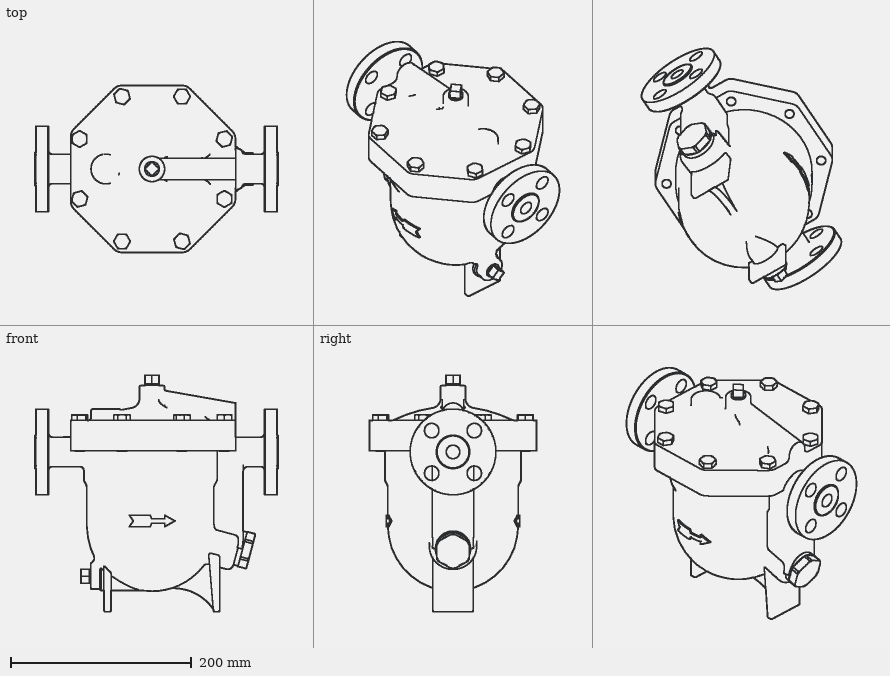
import cadquery as cq
import math


INLET_FACE_X = -130.0
OUTLET_FACE_X = 140.0
PIPE_DIA = 33.0
BORE_DIA = 15.0
BORE_DEPTH = 55.0
FLANGE_DIA = 95.0
FLANGE_THICKNESS = 14.3
FLANGE_EDGE_CHAMFER = 1.0
RAISED_FACE_DIA = 37.0
RAISED_FACE_HEIGHT = 1.6
RAISED_FACE_CHAMFER = 0.8
HUB_FILLET = 3.5
FLANGE_HOLE_DIA = 16.0
FLANGE_HOLE_CIRCLE = 66.7
FLANGE_HOLE_COUNT = 4
FLANGE_FIRST_HOLE_ANGLE = 45.0

OCTAGON_FLATS = 185.0
OCTAGON_LEFT_X = -90.0
OCTAGON_CORNER_RADIUS = 12.0
OCTAGON_BOTTOM_Z = 1.2
OCTAGON_TOP_Z = 35.0

BOLT_COUNT = 8
BOLT_CIRCLE = 173.4
BOLT_FLATS = 16.0
BOLT_FIRST_ANGLE = 67.5
BOLT_HEAD_HEIGHT = 6.0
BOLT_HEAD_CHAMFER = 0.7
BOLT_DIA = 10.0
BOLT_END_Z = 0.5

DOME_RADIUS = 150.0
DOME_CROWN_Z = 50.5
DOME_BASE_FILLET = 6.0
VENT_DIA = 28.0
VENT_TOP_Z = 73.5
VENT_BASE_FILLET = 10.0
VENT_TOP_FILLET = 2.0

PLUG_DIA = 16.0
PLUG_COLLAR_HEIGHT = 1.7
VENT_PLUG_TOP_Z = 85.0

PASSAGE_DIA = 24.0
PASSAGE_SLOPE = 10.0
PASSAGE_END_AXIS_Z = 42.0
PASSAGE_FOOT_FILLET = 6.0
PASSAGE_DOME_FILLET = 2.4
PASSAGE_VENT_FILLET = 2.0
PASSAGE_BLEND_END_X = 62.0

PAD_X = -51.0
PAD_DIA = 33.0
PAD_TOP_Z = 47.6
PAD_TOP_FILLET = 2.5
PAD_BASE_FILLET = 3.0

BOWL_RIM_DIA = 151.0
BOWL_DIA = 144.6
RIM_END_Z = -31.7
TAPER_END_Z = -37.7
STEP_FILLET = 3.0
BOWL_CENTER_Z = -82.0
INLET_BOWL_FILLET = 4.0

RISER_WIDTH = 45.5
RISER_END_X = 101.0
RISER_ARCH_Z = -7.0
RISER_EDGE_FILLET = 7.0
RISER_PIPE_FILLET = 5.0

SEAT_SLOPE = 15.0
SEAT_AXIS_Z = -80.7
SEAT_DIA = 52.4
SEAT_END = 98.5
SEAT_END_FILLET = 6.5
SEAT_BOWL_FILLET = 5.0
SEAT_PLUG_DIA = 39.0
SEAT_HEX_START = 103.8
SEAT_HEX_END = 113.4
SEAT_HEX_FLATS = 36.0
SEAT_HEX_ROUND_DIA = 40.0
SEAT_HEX_CHAMFER = 0.8

DRAIN_Z = -137.6
DRAIN_DIA = 28.6
DRAIN_FACE_X = -67.8
DRAIN_PLUG_END_X = -78.8
DRAIN_BOWL_FILLET = 6.0
DRAIN_TUBE_DIA = 32.0
DRAIN_TUBE_START_X = -58.0
DRAIN_STEP = 1.6
DRAIN_FACE_FILLET = 1.5

FOOT_BOTTOM_Z = -177.0
FOOT_WIDTH = 45.0
FOOT_EDGE_FILLET = 1.8
LEFT_FOOT_X = (-53.1, -45.3)
LEFT_FOOT_TOP_Z = -126.0
RIGHT_FOOT_OUTER_X = 75.0
RIGHT_FOOT_BOTTOM_X = 68.0
RIGHT_FOOT_TOP_X = 62.0
RIGHT_FOOT_TOP_Z = -105.0
GUSSET_THICKNESS = 8.0
GUSSET_ARC_RADIUS = 53.0
GUSSET_ARC_X = 24.0
GUSSET_ARC_TOP_Z = -151.0

ARROW_Z = -76.4
ARROW_HEIGHT = 1.6
ARROW_TAIL_X = -25.0
ARROW_NOTCH_X = -20.6
ARROW_TAIL_END_X = -2.0
ARROW_SHAFT_START_X = -0.4
ARROW_HEAD_X = 14.0
ARROW_TIP_X = 25.5
ARROW_HALF_HEIGHT = 6.3
ARROW_SHAFT_HALF_HEIGHT = 2.7

PICK_MARGIN = 1.0

BOWL_RADIUS = BOWL_DIA / 2
OCTAGON_HALF = OCTAGON_FLATS / 2


def arc_midpoint(center, start, end):
    """Point halfway along the shorter arc from start to end about center."""
    dx = (start[0] + end[0]) / 2 - center[0]
    dy = (start[1] + end[1]) / 2 - center[1]
    radius = math.dist(center, start)
    length = math.hypot(dx, dy)
    return (center[0] + radius * dx / length, center[1] + radius * dy / length)


def toward(center, target, distance):
    """Point at a distance from center in the direction of target."""
    span = math.dist(center, target)
    return tuple(c + (t - c) * distance / span for c, t in zip(center, target))


def rod(diameter, start_x, end_x, axis_z=0.0):
    """Cylinder along X."""
    return (
        cq.Workplane("YZ", origin=(start_x, 0, axis_z))
        .circle(diameter / 2)
        .extrude(end_x - start_x)
    )


def box(x_range, width, z_range):
    """Block between two X and two Z limits, centred on Y."""
    (x0, x1), (z0, z1) = x_range, z_range
    return (
        cq.Workplane("XY", origin=((x0 + x1) / 2, 0, z0))
        .rect(x1 - x0, width)
        .extrude(z1 - z0)
    )


def square_plug(height):
    """Collar with a square head on +Z, its corners on the X and Y axes."""
    collar = cq.Workplane("XY").circle(PLUG_DIA / 2).extrude(PLUG_COLLAR_HEIGHT)
    return collar.union(cq.Workplane("XY").polygon(4, PLUG_DIA).extrude(height))


def hex_corner_dia(flats):
    return flats / math.cos(math.pi / 6)


def hex_head(flats, height, round_dia, chamfer):
    """Hexagonal head on +Z, its corners turned to round_dia and its top rim bevelled."""
    bevel = cq.Workplane("XY").circle(round_dia / 2).extrude(height).faces(">Z").chamfer(chamfer)
    return cq.Workplane("XY").polygon(6, hex_corner_dia(flats)).extrude(height).intersect(bevel)


def octagon_plate():
    half_side = OCTAGON_HALF * math.tan(math.pi / 8)
    left_half_side = half_side + OCTAGON_HALF + OCTAGON_LEFT_X
    upper = [
        (OCTAGON_HALF, half_side),
        (half_side, OCTAGON_HALF),
        (-half_side, OCTAGON_HALF),
        (OCTAGON_LEFT_X, left_half_side),
    ]
    lower = [(x, -y) for x, y in reversed(upper)]
    return (
        cq.Workplane("XY", origin=(0, 0, OCTAGON_BOTTOM_Z))
        .polyline(upper + lower)
        .close()
        .extrude(OCTAGON_TOP_Z - OCTAGON_BOTTOM_Z)
        .edges("|Z")
        .fillet(OCTAGON_CORNER_RADIUS)
    )


def dome_and_vent():
    """Spherical dome blended into the plate and into the vent boss."""
    vent_radius = VENT_DIA / 2
    dome_center = (0, DOME_CROWN_Z - DOME_RADIUS)

    base_z = OCTAGON_TOP_Z + DOME_BASE_FILLET
    base_reach = DOME_RADIUS + DOME_BASE_FILLET
    base_center = (math.sqrt(base_reach**2 - (base_z - dome_center[1]) ** 2), base_z)
    base_start = (base_center[0], OCTAGON_TOP_Z)
    base_end = toward(dome_center, base_center, DOME_RADIUS)

    neck_r = vent_radius + VENT_BASE_FILLET
    neck_reach = DOME_RADIUS + VENT_BASE_FILLET
    neck_center = (neck_r, dome_center[1] + math.sqrt(neck_reach**2 - neck_r**2))
    neck_start = toward(dome_center, neck_center, DOME_RADIUS)
    neck_end = (vent_radius, neck_center[1])

    return (
        cq.Workplane("XZ")
        .moveTo(0, OCTAGON_BOTTOM_Z)
        .lineTo(base_start[0], OCTAGON_BOTTOM_Z)
        .lineTo(*base_start)
        .threePointArc(arc_midpoint(base_center, base_start, base_end), base_end)
        .threePointArc(arc_midpoint(dome_center, base_end, neck_start), neck_start)
        .threePointArc(arc_midpoint(neck_center, neck_start, neck_end), neck_end)
        .lineTo(vent_radius, VENT_TOP_Z)
        .lineTo(0, VENT_TOP_Z)
        .close()
        .revolve(360, (0, 0), (0, 1))
        .faces(">Z")
        .edges()
        .fillet(VENT_TOP_FILLET)
    )


def passage():
    """Round passage sloping down from the vent boss, on a flat-sided wall."""
    radius = PASSAGE_DIA / 2
    fall = math.tan(math.radians(PASSAGE_SLOPE))
    start_z = PASSAGE_END_AXIS_Z + OCTAGON_HALF * fall
    across = cq.Plane(origin=(0, 0, start_z), xDir=(0, 1, 0), normal=(1, 0, -fall))
    wall = (
        cq.Workplane(across)
        .moveTo(-radius, -start_z)
        .lineTo(-radius, 0)
        .radiusArc((radius, 0), radius)
        .lineTo(radius, -start_z)
        .close()
        .extrude(OCTAGON_FLATS)
    )
    post_top_z = VENT_TOP_Z - VENT_TOP_FILLET
    post = cq.Workplane("XY").circle(VENT_DIA / 2).extrude(post_top_z)
    junction = cq.selectors.BoxSelector(
        (radius / 2, -radius, 0), (VENT_DIA, radius, post_top_z), boundingbox=True
    )
    wall_with_post = wall.union(post).edges(junction).fillet(PASSAGE_VENT_FILLET)
    limits = box((0, OCTAGON_HALF), OCTAGON_FLATS, (OCTAGON_TOP_Z, VENT_TOP_Z))
    return wall_with_post.intersect(limits)


def passage_foot():
    """Flared foot where the passage wall stands on the plate."""
    radius = PASSAGE_DIA / 2
    foot_y = radius + PASSAGE_FOOT_FILLET
    foot_z = OCTAGON_TOP_Z + PASSAGE_FOOT_FILLET
    return (
        cq.Workplane("YZ")
        .moveTo(-foot_y, OCTAGON_TOP_Z)
        .radiusArc((-radius, foot_z), -PASSAGE_FOOT_FILLET)
        .lineTo(radius, foot_z)
        .radiusArc((foot_y, OCTAGON_TOP_Z), -PASSAGE_FOOT_FILLET)
        .close()
        .extrude(OCTAGON_HALF)
    )


def dome_ball(radius):
    return cq.Workplane("XY", origin=(0, 0, DOME_CROWN_Z - DOME_RADIUS)).sphere(radius)


def passage_dome_blend():
    """Strip of dome with fillets running up to the sides of the passage wall."""
    side_y = PASSAGE_DIA / 2
    slab = box((-2 * DOME_RADIUS, 2 * DOME_RADIUS), PASSAGE_DIA, (0, 2 * DOME_CROWN_Z))
    ridge = dome_ball(DOME_RADIUS).union(slab)
    for y in (-side_y, side_y):
        foot_line = cq.selectors.NearestToPointSelector((0, y, OCTAGON_TOP_Z))
        ridge = ridge.edges("%CIRCLE").edges(foot_line).fillet(PASSAGE_DOME_FILLET)
    strip = box(
        (VENT_DIA / 2, PASSAGE_BLEND_END_X),
        PASSAGE_DIA + 4 * PASSAGE_DOME_FILLET,
        (OCTAGON_TOP_Z, DOME_CROWN_Z + PASSAGE_DOME_FILLET),
    ).intersect(dome_ball(DOME_RADIUS + PASSAGE_DOME_FILLET))
    return ridge.intersect(strip)


def cover_pad():
    return (
        cq.Workplane("XY", origin=(PAD_X, 0, OCTAGON_BOTTOM_Z))
        .circle(PAD_DIA / 2)
        .extrude(PAD_TOP_Z - OCTAGON_BOTTOM_Z)
        .faces(">Z")
        .edges()
        .fillet(PAD_TOP_FILLET)
    )


def bowl():
    rim_radius = BOWL_RIM_DIA / 2
    diagonal = BOWL_RADIUS * math.sqrt(0.5)
    shape = (
        cq.Workplane("XZ")
        .moveTo(0, OCTAGON_BOTTOM_Z)
        .lineTo(rim_radius, OCTAGON_BOTTOM_Z)
        .lineTo(rim_radius, RIM_END_Z)
        .lineTo(BOWL_RADIUS, TAPER_END_Z)
        .lineTo(BOWL_RADIUS, BOWL_CENTER_Z)
        .threePointArc((diagonal, BOWL_CENTER_Z - diagonal), (0, BOWL_CENTER_Z - BOWL_RADIUS))
        .close()
        .revolve(360, (0, 0), (0, 1))
    )
    step_zone = cq.selectors.BoxSelector(
        (-rim_radius, -rim_radius, TAPER_END_Z - PICK_MARGIN),
        (rim_radius, rim_radius, RIM_END_Z + PICK_MARGIN),
    )
    return shape.edges("%CIRCLE").edges(step_zone).fillet(STEP_FILLET)


def seat_frame(distance):
    """Plane across the inclined seat axis at a distance from the bowl axis."""
    slope = math.radians(SEAT_SLOPE)
    direction = (math.cos(slope), 0, -math.sin(slope))
    origin = (distance * direction[0], 0, SEAT_AXIS_Z + distance * direction[2])
    return cq.Plane(origin=origin, xDir=(0, 1, 0), normal=direction)


def seat_boss():
    return (
        cq.Workplane(seat_frame(0))
        .circle(SEAT_DIA / 2)
        .extrude(SEAT_END)
        .faces(cq.selectors.DirectionMinMaxSelector(seat_frame(0).zDir))
        .edges()
        .fillet(SEAT_END_FILLET)
    )


def seat_plug():
    neck = cq.Workplane(seat_frame(0)).circle(SEAT_PLUG_DIA / 2).extrude(SEAT_HEX_START)
    head = hex_head(
        SEAT_HEX_FLATS, SEAT_HEX_END - SEAT_HEX_START, SEAT_HEX_ROUND_DIA, SEAT_HEX_CHAMFER
    )
    corners_upright = head.rotate((0, 0, 0), (0, 0, 1), 90)
    placed_head = corners_upright.val().moved(cq.Location(seat_frame(SEAT_HEX_START)))
    return neck.union(cq.Workplane(placed_head))


def riser():
    """Round-topped upright that carries the outlet pipe, standing on the seat boss."""
    half_width = RISER_WIDTH / 2
    upright = (
        cq.Workplane("YZ")
        .moveTo(-half_width, DRAIN_Z)
        .lineTo(-half_width, RISER_ARCH_Z)
        .radiusArc((half_width, RISER_ARCH_Z), half_width)
        .lineTo(half_width, DRAIN_Z)
        .close()
        .extrude(RISER_END_X)
        .faces(">X")
        .edges("not <Z")
        .fillet(RISER_EDGE_FILLET)
    )
    fall = math.tan(math.radians(SEAT_SLOPE))
    above_seat_axis = (
        cq.Workplane("XZ")
        .polyline([
            (0, SEAT_AXIS_Z),
            (RISER_END_X, SEAT_AXIS_Z - RISER_END_X * fall),
            (RISER_END_X, OCTAGON_TOP_Z),
            (0, OCTAGON_TOP_Z),
        ])
        .close()
        .extrude(half_width, both=True)
    )
    return upright.intersect(above_seat_axis)


def pipe_end(face_x):
    """Flange with raised face and hub fillet; its outer face lies at face_x."""
    inward = -math.copysign(1, face_x)
    pipe_radius = PIPE_DIA / 2
    front_x = face_x + inward * RAISED_FACE_HEIGHT
    back_x = front_x + inward * FLANGE_THICKNESS
    disc = (
        rod(FLANGE_DIA, min(front_x, back_x), max(front_x, back_x))
        .faces(">X" if inward > 0 else "<X")
        .edges()
        .chamfer(FLANGE_EDGE_CHAMFER)
    )
    raised_face = (
        rod(RAISED_FACE_DIA, min(face_x, front_x), max(face_x, front_x))
        .faces("<X" if inward > 0 else ">X")
        .edges()
        .chamfer(RAISED_FACE_CHAMFER)
    )
    hub = (
        cq.Workplane("XY")
        .moveTo(back_x, 0)
        .lineTo(back_x, pipe_radius + HUB_FILLET)
        .radiusArc((back_x + inward * HUB_FILLET, pipe_radius), -inward * HUB_FILLET)
        .lineTo(back_x + inward * HUB_FILLET, 0)
        .close()
        .revolve(360, (0, 0), (1, 0))
    )
    holes = (
        cq.Workplane("YZ", origin=(min(front_x, back_x), 0, 0))
        .polarArray(FLANGE_HOLE_CIRCLE / 2, FLANGE_FIRST_HOLE_ANGLE, 360, FLANGE_HOLE_COUNT)
        .circle(FLANGE_HOLE_DIA / 2)
        .extrude(FLANGE_THICKNESS)
    )
    return disc.cut(holes).union(raised_face).union(hub)


def bore(face_x):
    end_x = face_x - math.copysign(BORE_DEPTH, face_x)
    return rod(BORE_DIA, min(face_x, end_x), max(face_x, end_x))


def cover_bolts():
    """Bolt heads on the cover with the shank ends showing under the plate."""
    head = hex_head(BOLT_FLATS, BOLT_HEAD_HEIGHT, hex_corner_dia(BOLT_FLATS), BOLT_HEAD_CHAMFER)
    head = head.translate((0, 0, OCTAGON_TOP_Z))
    shank = (
        cq.Workplane("XY", origin=(0, 0, BOLT_END_Z))
        .circle(BOLT_DIA / 2)
        .extrude(OCTAGON_TOP_Z - BOLT_END_Z)
    )
    start = math.radians(BOLT_FIRST_ANGLE)
    reach = BOLT_CIRCLE / 2
    bolt = head.union(shank).translate((reach * math.cos(start), reach * math.sin(start), 0))
    bolts = cq.Workplane("XY")
    for index in range(BOLT_COUNT):
        bolts = bolts.add(bolt.rotate((0, 0, 0), (0, 0, 1), index * 360 / BOLT_COUNT))
    return bolts.combine()


def cover():
    plain = octagon_plate().union(dome_and_vent()).union(cover_pad())
    reach = PAD_DIA / 2 + PICK_MARGIN
    pad_foot = cq.selectors.BoxSelector(
        (PAD_X - reach, -reach, OCTAGON_TOP_Z - PICK_MARGIN),
        (PAD_X + reach, reach, PAD_TOP_Z),
        boundingbox=True,
    )
    blended = plain.edges(pad_foot).edges("%BSPLINE").fillet(PAD_BASE_FILLET)
    vent_plug = square_plug(VENT_PLUG_TOP_Z - VENT_TOP_Z).translate((0, 0, VENT_TOP_Z))
    passage_parts = passage().union(passage_foot()).union(passage_dome_blend())
    return blended.union(passage_parts).union(vent_plug).union(cover_bolts())


def bowl_with_seat():
    """Bowl blended into the inclined seat boss and the inlet pipe."""
    seat_foot = cq.selectors.BoxSelector(
        (SEAT_DIA / 2, -SEAT_DIA, SEAT_AXIS_Z - SEAT_DIA),
        (BOWL_RADIUS + SEAT_BOWL_FILLET, SEAT_DIA, SEAT_AXIS_Z + SEAT_DIA),
    )
    shape = bowl().union(seat_boss())
    shape = shape.edges("%BSPLINE").edges(seat_foot).fillet(SEAT_BOWL_FILLET)
    shape = shape.union(rod(PIPE_DIA, INLET_FACE_X + RAISED_FACE_HEIGHT, 0))
    rim_radius = BOWL_RIM_DIA / 2
    reach = PIPE_DIA / 2 + PICK_MARGIN
    inlet_foot = cq.selectors.BoxSelector(
        (-rim_radius - PICK_MARGIN, -reach, -reach),
        (-rim_radius + PIPE_DIA / 4, reach, OCTAGON_BOTTOM_Z + PICK_MARGIN),
        boundingbox=True,
    )
    return shape.edges(inlet_foot).fillet(INLET_BOWL_FILLET)


def drain():
    """Drain boss blended into the lower bowl, with its passage and plug."""
    rough_end_x = DRAIN_FACE_X - DRAIN_DIA
    lower_bowl = cq.Workplane("XY", origin=(0, 0, BOWL_CENTER_Z)).sphere(BOWL_RADIUS)
    boss = (
        lower_bowl.union(rod(DRAIN_DIA, rough_end_x, 0, DRAIN_Z))
        .edges("%BSPLINE")
        .fillet(DRAIN_BOWL_FILLET)
        .intersect(box((DRAIN_FACE_X, 0), BOWL_DIA, (FOOT_BOTTOM_Z, DRAIN_Z + DRAIN_DIA)))
        .faces("<X")
        .edges()
        .fillet(DRAIN_FACE_FILLET)
    )
    tube = rod(DRAIN_TUBE_DIA, DRAIN_TUBE_START_X, 0, DRAIN_Z)
    tube = tube.faces("<X").edges().chamfer(DRAIN_STEP)
    plug = (
        square_plug(DRAIN_FACE_X - DRAIN_PLUG_END_X)
        .rotate((0, 0, 0), (0, 1, 0), -90)
        .translate((DRAIN_FACE_X, 0, DRAIN_Z))
    )
    return boss.union(tube).union(plug)


def outlet():
    """Riser and outlet pipe with the fillet between them."""
    shape = riser().union(rod(PIPE_DIA, 0, OUTLET_FACE_X - RAISED_FACE_HEIGHT))
    reach = PIPE_DIA / 2 + PICK_MARGIN
    junction = cq.selectors.BoxSelector(
        (RISER_END_X - PICK_MARGIN, -reach, -reach),
        (RISER_END_X + PICK_MARGIN, reach, reach),
        boundingbox=True,
    )
    return shape.edges(junction).fillet(RISER_PIPE_FILLET)


def left_foot():
    return (
        box(LEFT_FOOT_X, FOOT_WIDTH, (FOOT_BOTTOM_Z, LEFT_FOOT_TOP_Z))
        .edges("|Z or <Z")
        .fillet(FOOT_EDGE_FILLET)
    )


def right_foot():
    """Tapered foot braced to the bowl by a gusset with an arched lower edge."""
    half_width = FOOT_WIDTH / 2
    plate = (
        cq.Workplane("XZ")
        .polyline([
            (RIGHT_FOOT_BOTTOM_X, FOOT_BOTTOM_Z),
            (RIGHT_FOOT_OUTER_X, FOOT_BOTTOM_Z),
            (RIGHT_FOOT_OUTER_X, RIGHT_FOOT_TOP_Z),
            (RIGHT_FOOT_TOP_X, RIGHT_FOOT_TOP_Z),
        ])
        .close()
        .extrude(half_width, both=True)
        .edges("not >Z")
        .fillet(FOOT_EDGE_FILLET)
    )
    center_z = GUSSET_ARC_TOP_Z - GUSSET_ARC_RADIUS
    drop = FOOT_BOTTOM_Z + FOOT_EDGE_FILLET - center_z
    arc_end = (
        GUSSET_ARC_X + math.sqrt(GUSSET_ARC_RADIUS**2 - drop**2),
        FOOT_BOTTOM_Z + FOOT_EDGE_FILLET,
    )
    gusset = (
        cq.Workplane("XZ")
        .moveTo(0, BOWL_CENTER_Z)
        .lineTo(0, GUSSET_ARC_TOP_Z)
        .lineTo(GUSSET_ARC_X, GUSSET_ARC_TOP_Z)
        .radiusArc(arc_end, GUSSET_ARC_RADIUS)
        .lineTo(RIGHT_FOOT_OUTER_X - 2 * FOOT_EDGE_FILLET, RIGHT_FOOT_TOP_Z)
        .close()
        .extrude(GUSSET_THICKNESS / 2, both=True)
    )
    return plate.union(gusset)


def flow_arrows():
    """Arrows raised from the front and back of the bowl, pointing along +X."""
    upper = [
        (ARROW_NOTCH_X, 0),
        (ARROW_TAIL_X, ARROW_HALF_HEIGHT),
        (ARROW_TAIL_END_X, ARROW_HALF_HEIGHT),
        (ARROW_SHAFT_START_X, ARROW_SHAFT_HALF_HEIGHT),
        (ARROW_HEAD_X, ARROW_SHAFT_HALF_HEIGHT),
        (ARROW_HEAD_X, ARROW_HALF_HEIGHT),
        (ARROW_TIP_X, 0),
    ]
    lower = [(x, -z) for x, z in reversed(upper[1:-1])]
    outer_radius = BOWL_RADIUS + ARROW_HEIGHT
    skin = (
        cq.Workplane("XY", origin=(0, 0, ARROW_Z - 2 * ARROW_HALF_HEIGHT))
        .circle(outer_radius)
        .extrude(4 * ARROW_HALF_HEIGHT)
    )
    return (
        cq.Workplane("XZ", origin=(0, 0, ARROW_Z))
        .polyline(upper + lower)
        .close()
        .extrude(outer_radius, both=True)
        .intersect(skin)
    )


def joined(parts):
    """All the parts fused into one solid in a single step."""
    first, *others = [part.val() for part in parts]
    return cq.Workplane(first.fuse(*others).clean())


trap = joined([
    bowl_with_seat(),
    cover(),
    outlet(),
    seat_plug(),
    drain(),
    left_foot(),
    right_foot(),
    flow_arrows(),
    pipe_end(INLET_FACE_X),
    pipe_end(OUTLET_FACE_X),
])
result = trap.cut(bore(INLET_FACE_X)).cut(bore(OUTLET_FACE_X)).solids()